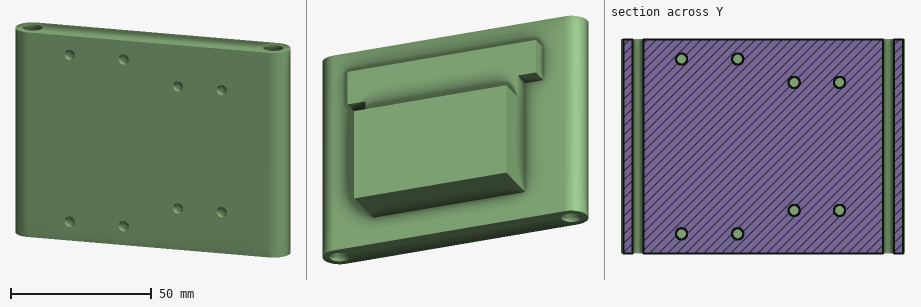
import cadquery as cq

INCH = 25.4

plate_thickness = 0.48 * INCH
plate_height = 3.0 * INCH
pin_spacing = 3.5 * INCH
pin_hole_diameter = 0.28 * INCH
plate_length = pin_spacing + plate_thickness
front_face = -plate_thickness / 2
back_face = plate_thickness / 2

block_width = 2.3 * INCH
block_rise = 0.7 * INCH
block_bottom = -1.1 * INCH
block_top = 0.245 * INCH

pad_rise = 0.275 * INCH
bar_width = 2.85 * INCH
bar_top = 1.075 * INCH
bar_bottom = 0.575 * INCH

screw_hole_diameter = 0.15 * INCH
screw_hole_depth = plate_thickness / 2
left_group_center = -0.75 * INCH
left_group_spacing = (0.785 * INCH, 2.445 * INCH)
right_group_center = 0.75 * INCH
right_group_spacing = (0.635 * INCH, 1.79 * INCH)


def make_plate():
    """Rounded slab with a vertical pin hole through each end."""
    slab = (
        cq.Workplane("XY", origin=(0, 0, -plate_height / 2))
        .slot2D(plate_length, plate_thickness)
        .extrude(plate_height)
    )
    return (
        slab.faces(">Z")
        .workplane(origin=(0, 0, 0))
        .rarray(pin_spacing, 1, 2, 1)
        .hole(pin_hole_diameter)
    )


def make_pad(width, rise, bottom, top):
    """Box on the back face, centred on X = 0, between two Z levels."""
    return (
        cq.Workplane("XY")
        .box(width, rise, top - bottom, centered=(True, False, False))
        .translate((0, back_face, bottom))
    )


def make_screw_holes(center, spacing):
    """Cutters for one rectangular group of four blind holes."""
    return (
        cq.Workplane("XZ", origin=(center, front_face, 0))
        .rarray(spacing[0], spacing[1], 2, 2)
        .circle(screw_hole_diameter / 2)
        .extrude(-screw_hole_depth)
    )


result = (
    make_plate()
    .union(make_pad(bar_width, pad_rise, bar_bottom, bar_top))
    .union(make_pad(block_width, pad_rise, block_top, bar_bottom))
    .union(make_pad(block_width, block_rise, block_bottom, block_top))
    .cut(make_screw_holes(left_group_center, left_group_spacing))
    .cut(make_screw_holes(right_group_center, right_group_spacing))
)